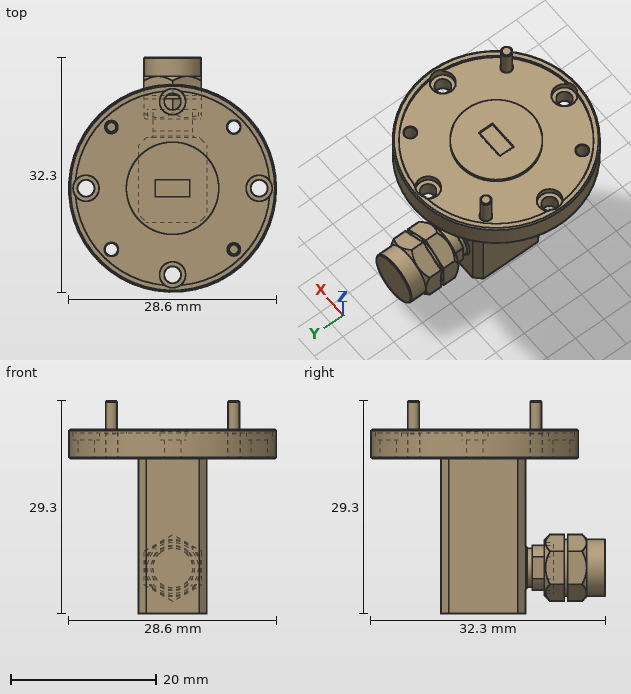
import cadquery as cq
import math


OVERALL_LENGTH = 32.3

FLANGE_DIAMETER = 28.6
FLANGE_THICKNESS = 4.05
FLANGE_CHAMFER = 0.23
RECESS_DIAMETER = 26.8
RECESS_DEPTH = 0.5
BOSS_DIAMETER = 12.73

WINDOW_LENGTH = 4.7
WINDOW_WIDTH = 2.4
WINDOW_DEPTH = 0.3

PITCH_RADIUS = 11.92
SCREW_HOLE_DIAMETER = 2.3
COUNTERBORE_DIAMETER = 3.6
COUNTERBORE_DEPTH = 1.45
SCREW_ANGLES = (0, 90, 180, 270)
SOCKET_HOLE_DIAMETER = 1.75
SOCKET_ANGLES = (45, 225)
HOLE_CHAMFER = 0.1

PIN_DIAMETER = 1.6
PIN_PROTRUSION = 3.9
PIN_CHAMFER = 0.15
PIN_ANGLES = (135, 315)

BLOCK_WIDTH = 9.43
BLOCK_FRONT_Y = -4.65
BLOCK_BACK_Y = 7.0
BLOCK_HEIGHT = 21.32
BLOCK_CHAMFER = 1.05

CONNECTOR_Z = -15.02
FLARE_RADIUS = 3.0
NECK_RADIUS = 2.7
COLLAR_RADIUS = 3.13
COLLAR_ACROSS_FLATS = 5.45
HEX_ACROSS_FLATS = 7.95
INNER_HEX_END_RADIUS = 3.78
HEX_MOUTH_RADIUS = 3.52
HEX_MOUTH_DEPTH = 1.3
BARREL_RADIUS = 3.95
BARREL_CHAMFER = 0.13

FLARE_LENGTH = 0.23
NECK_LENGTH = 0.68
COLLAR_LENGTH = 1.65
INNER_HEX_LENGTH = 2.78
HEX_GAP = 0.45
OUTER_HEX_LENGTH = 2.65

RECESS_FLOOR_Z = FLANGE_THICKNESS - RECESS_DEPTH
NECK_Y = BLOCK_BACK_Y + FLARE_LENGTH
COLLAR_Y = NECK_Y + NECK_LENGTH
INNER_HEX_Y = COLLAR_Y + COLLAR_LENGTH
GAP_Y = INNER_HEX_Y + INNER_HEX_LENGTH
OUTER_HEX_Y = GAP_Y + HEX_GAP
BARREL_Y = OUTER_HEX_Y + OUTER_HEX_LENGTH
CONNECTOR_END_Y = OVERALL_LENGTH - FLANGE_DIAMETER / 2


def pitch_points(angles):
    """Points on the pitch circle at the given angles in degrees."""
    return [
        (PITCH_RADIUS * math.cos(math.radians(a)), PITCH_RADIUS * math.sin(math.radians(a)))
        for a in angles
    ]


def disc(radius, bottom_z, height):
    """Upright cylinder on the flange axis."""
    return cq.Workplane("XY").workplane(offset=bottom_z).circle(radius).extrude(height)


def cut_chamfered_holes(body, diameter, angles):
    """Through holes whose mouths at the recess floor are chamfered."""
    radius = diameter / 2
    profile = [
        (0, 0),
        (radius, 0),
        (radius, RECESS_FLOOR_Z - HOLE_CHAMFER),
        (radius + HOLE_CHAMFER, RECESS_FLOOR_Z),
        (0, RECESS_FLOOR_Z),
    ]
    cutter = cq.Workplane("XZ").polyline(profile).close().revolve(360, (0, 0), (0, 1))
    for x, y in pitch_points(angles):
        body = body.cut(cutter.translate((x, y, 0)))
    return body


def make_flange():
    """Round flange with a recessed face, a central boss and its holes."""
    flange = disc(FLANGE_DIAMETER / 2, 0, FLANGE_THICKNESS).edges().chamfer(FLANGE_CHAMFER)
    recess = disc(RECESS_DIAMETER / 2, RECESS_FLOOR_Z, RECESS_DEPTH)
    recess = recess.cut(disc(BOSS_DIAMETER / 2, RECESS_FLOOR_Z, RECESS_DEPTH))
    flange = flange.cut(recess)

    window = (
        cq.Workplane("XY")
        .workplane(offset=FLANGE_THICKNESS)
        .rect(WINDOW_LENGTH, WINDOW_WIDTH)
        .extrude(-WINDOW_DEPTH)
    )
    flange = flange.cut(window)

    flange = cut_chamfered_holes(flange, SOCKET_HOLE_DIAMETER, SOCKET_ANGLES)
    flange = cut_chamfered_holes(flange, PIN_DIAMETER, PIN_ANGLES)
    return (
        flange.faces(">Z")
        .workplane(origin=(0, 0, FLANGE_THICKNESS))
        .pushPoints(pitch_points(SCREW_ANGLES))
        .cboreHole(SCREW_HOLE_DIAMETER, COUNTERBORE_DIAMETER, COUNTERBORE_DEPTH)
    )


def make_housing():
    """Flange and the chamfered block below it, as one body."""
    block = (
        cq.Workplane("XY")
        .center(0, (BLOCK_FRONT_Y + BLOCK_BACK_Y) / 2)
        .rect(BLOCK_WIDTH, BLOCK_BACK_Y - BLOCK_FRONT_Y)
        .extrude(-BLOCK_HEIGHT)
        .edges("|Z")
        .chamfer(BLOCK_CHAMFER)
    )
    return make_flange().union(block)


def make_pin(x, y):
    """Dowel pin filling its hole and standing out of the flange face."""
    return (
        cq.Workplane("XY")
        .center(x, y)
        .circle(PIN_DIAMETER / 2)
        .extrude(FLANGE_THICKNESS + PIN_PROTRUSION)
        .faces(">Z")
        .chamfer(PIN_CHAMFER)
    )


def connector_plane(y):
    """Workplane square to the connector axis, with its normal along +Y."""
    return cq.Workplane(cq.Plane(origin=(0, y, CONNECTOR_Z), xDir=(0, 0, 1), normal=(0, 1, 0)))


def connector_disc(radius, start_y, end_y):
    """Cylinder on the connector axis between two places along Y."""
    return connector_plane(start_y).circle(radius).extrude(end_y - start_y)


def connector_cone(small_radius, start_y, end_y):
    """45 degree cone frustum that widens from start_y to end_y, on either side of it."""
    large_radius = small_radius + abs(end_y - start_y)
    profile = [(0, start_y), (small_radius, start_y), (large_radius, end_y), (0, end_y)]
    return (
        cq.Workplane("XY")
        .polyline(profile)
        .close()
        .revolve(360, (0, 0), (0, 1))
        .translate((0, 0, CONNECTOR_Z))
    )


def hex_section(start_y, length):
    """Hexagon with corners up and down."""
    corner_diameter = HEX_ACROSS_FLATS / math.cos(math.pi / 6)
    return connector_plane(start_y).polygon(6, corner_diameter).extrude(length)


def make_connector():
    """Stepped connector: flared neck, flatted collar, two hexagons and a round barrel."""
    flare = connector_cone(FLARE_RADIUS - FLARE_LENGTH, NECK_Y, BLOCK_BACK_Y)
    neck = connector_disc(NECK_RADIUS, NECK_Y, COLLAR_Y)

    collar = connector_disc(COLLAR_RADIUS, COLLAR_Y, INNER_HEX_Y + HEX_MOUTH_DEPTH)
    flats = connector_plane(COLLAR_Y).rect(2 * COLLAR_RADIUS, COLLAR_ACROSS_FLATS)
    collar = collar.intersect(flats.extrude(COLLAR_LENGTH + HEX_MOUTH_DEPTH))

    inner_hex = hex_section(INNER_HEX_Y, INNER_HEX_LENGTH)
    inner_hex = inner_hex.intersect(connector_cone(INNER_HEX_END_RADIUS, INNER_HEX_Y, GAP_Y))
    mouth = connector_disc(HEX_MOUTH_RADIUS, INNER_HEX_Y, INNER_HEX_Y + HEX_MOUTH_DEPTH)
    inner_hex = inner_hex.cut(mouth)

    outer_hex = hex_section(OUTER_HEX_Y, OUTER_HEX_LENGTH)
    outer_hex = outer_hex.intersect(connector_cone(BARREL_RADIUS, BARREL_Y, OUTER_HEX_Y))

    barrel = connector_disc(BARREL_RADIUS, GAP_Y, CONNECTOR_END_Y)
    barrel = barrel.faces(">Y").chamfer(BARREL_CHAMFER)
    return flare.union(neck).union(collar).union(inner_hex).union(outer_hex).union(barrel)


housing = make_housing()
connector = make_connector()
pins = [make_pin(x, y) for x, y in pitch_points(PIN_ANGLES)]

result = cq.Compound.makeCompound([housing.val(), connector.val(), *[pin.val() for pin in pins]])